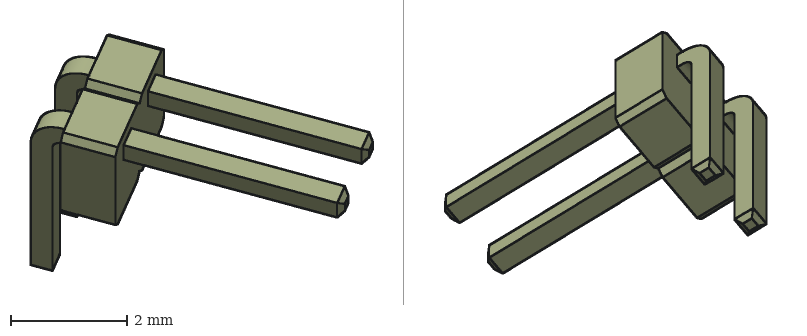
import cadquery as cq

overall_length = 5.7
overall_height = 4.35

pin_count = 2
pitch = 1.27
housing_start = 0.7
housing_length = 1.0
housing_height = 2.1
housing_chamfer = 0.125

pin_size = 0.4
pin_drop = 0.3
bend_radius = 0.6
tip_chamfer = 0.1

pin_top = overall_height - pin_drop
inner_radius = bend_radius - pin_size
housing_center_z = overall_height - housing_height / 2


def housing_cell(y):
    """One housing block with its four lengthwise edges chamfered."""
    return (
        cq.Workplane("XY")
        .box(housing_length, pitch, housing_height)
        .edges("|X")
        .chamfer(housing_chamfer)
        .translate((housing_start + housing_length / 2, y, housing_center_z))
    )


def bent_pin(y):
    """One L-shaped square pin with tapered tips."""
    pin = (
        cq.Workplane("XZ")
        .lineTo(pin_size, 0)
        .lineTo(pin_size, pin_top - bend_radius)
        .radiusArc((bend_radius, pin_top - pin_size), inner_radius)
        .lineTo(overall_length, pin_top - pin_size)
        .lineTo(overall_length, pin_top)
        .lineTo(bend_radius, pin_top)
        .radiusArc((0, pin_top - bend_radius), -bend_radius)
        .close()
        .extrude(pin_size / 2, both=True)
    )
    pin = pin.faces(">X").chamfer(tip_chamfer)
    pin = pin.faces("<Z").chamfer(tip_chamfer)
    return pin.translate((0, y, 0))


result = cq.Workplane("XY")
for index in range(pin_count):
    center_y = (index - (pin_count - 1) / 2) * pitch
    result = result.union(housing_cell(center_y)).union(bent_pin(center_y))